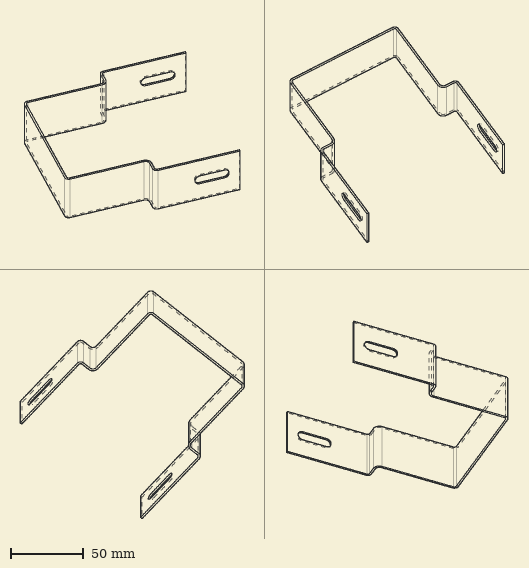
import cadquery as cq

width = 111.0
depth = 123.0
height = 35.0

thickness = 1.5
corner_inner_radius = 1.5
shoulder_inner_radius = 3.0
inner_width = 87.0
shoulder_y = 60.0

slot_length = 25.0
slot_width = 7.0
slot_to_arm_end = 20.5

half_sheet = thickness / 2
corner_radius = corner_inner_radius + half_sheet
shoulder_radius = shoulder_inner_radius + half_sheet
arm_x = width / 2 - half_sheet
wall_x = inner_width / 2 - half_sheet
front_y = half_sheet
shoulder_mid_y = shoulder_y + half_sheet


def half_strip():
    """Right half of the strip, swept from the middle of the front wall to the arm end."""
    path = (
        cq.Workplane("XY")
        .moveTo(0, front_y)
        .lineTo(wall_x - corner_radius, front_y)
        .tangentArcPoint((wall_x, front_y + corner_radius), relative=False)
        .lineTo(wall_x, shoulder_mid_y - shoulder_radius)
        .tangentArcPoint((wall_x + shoulder_radius, shoulder_mid_y), relative=False)
        .lineTo(arm_x - corner_radius, shoulder_mid_y)
        .tangentArcPoint((arm_x, shoulder_mid_y + corner_radius), relative=False)
        .lineTo(arm_x, depth)
    )
    section = cq.Workplane("YZ").center(front_y, height / 2).rect(thickness, height)
    return section.sweep(path)


def arm_slots():
    """Rounded slot running along Y, cutting both arms at mid height."""
    return (
        cq.Workplane("YZ")
        .center(depth - slot_to_arm_end, height / 2)
        .slot2D(slot_length, slot_width)
        .extrude(width, both=True)
    )


right_half = half_strip()
strip = right_half.union(right_half.mirror("YZ")).clean()
result = strip.cut(arm_slots())